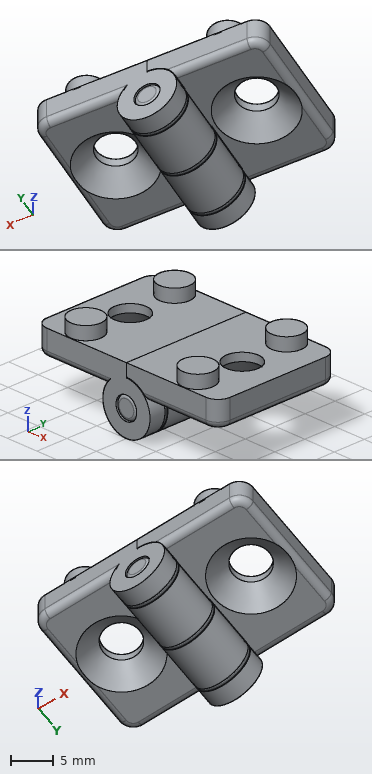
import cadquery as cq

hinge_length = 31.0
hinge_width = 20.0
leaf_thickness = 4.0
corner_radius = 2.0
bottom_fillet = 1.0
leaf_length = hinge_length / 2

stud_diameter = 5.0
stud_height = leaf_thickness / 2
stud_x = 9.5
stud_y = 7.4
hole_diameter = 5.3
hole_straight_depth = 1.25
countersink_depth = leaf_thickness - hole_straight_depth
countersink_diameter = hole_diameter + 2 * countersink_depth

barrel_diameter = 8.0
barrel_clearance = 0.1
barrel_top_depth = leaf_thickness / 2
axis_z = leaf_thickness - barrel_top_depth - barrel_diameter / 2
washer_thickness = 0.5
washer_fillet = 0.2
washer_pitch = 7.25
pin_diameter = 3.5
pin_fillet = 0.5

washer_spans = [
    (y - washer_thickness / 2, y + washer_thickness / 2)
    for y in (-washer_pitch, 0, washer_pitch)
]
knuckle_starts = [-hinge_width / 2] + [end for start, end in washer_spans]
knuckle_ends = [start for start, end in washer_spans] + [hinge_width / 2]
knuckle_spans = list(zip(knuckle_starts, knuckle_ends))


def barrel_cylinder(span, diameter):
    """Cylinder on the hinge axis that fills a range of Y."""
    start, end = span
    return (
        cq.Workplane("XZ", origin=(0, start, axis_z))
        .circle(diameter / 2)
        .extrude(start - end)
    )


def make_plate(side):
    """Half of a rounded plate, cut at X = 0 so that its inner edges stay sharp."""
    full_plate = (
        cq.Workplane("XY")
        .rect(hinge_length, hinge_width)
        .extrude(leaf_thickness)
        .edges("|Z")
        .fillet(corner_radius)
        .faces("<Z")
        .edges()
        .fillet(bottom_fillet)
    )
    half_space = (
        cq.Workplane("XY")
        .center(side * leaf_length / 2, 0)
        .rect(leaf_length, hinge_width)
        .extrude(leaf_thickness)
    )
    return full_plate.intersect(half_space)


def make_screw_hole(side):
    """Cutting shape: straight hole at the top, countersink opening at the underside."""
    bore = cq.Workplane("XY").center(side * stud_x, 0).circle(hole_diameter / 2).extrude(leaf_thickness)
    countersink = cq.Solid.makeCone(
        countersink_diameter / 2,
        hole_diameter / 2,
        countersink_depth,
        pnt=cq.Vector(side * stud_x, 0, 0),
    )
    return bore.union(cq.Workplane(countersink))


def make_studs(side):
    return (
        cq.Workplane("XY", origin=(0, 0, leaf_thickness))
        .pushPoints([(side * stud_x, -stud_y), (side * stud_x, stud_y)])
        .circle(stud_diameter / 2)
        .extrude(stud_height)
    )


def make_leaf(side, own_knuckles, other_knuckles):
    """Leaf with its studs and knuckles, cut clear of the washers and the other leaf's knuckles."""
    leaf = make_plate(side).union(make_studs(side))
    for span in other_knuckles + washer_spans:
        leaf = leaf.cut(barrel_cylinder(span, barrel_diameter + 2 * barrel_clearance))
    for span in own_knuckles:
        leaf = leaf.union(barrel_cylinder(span, barrel_diameter))
    leaf = leaf.cut(make_screw_hole(side))
    return leaf.cut(barrel_cylinder((-hinge_width / 2, hinge_width / 2), pin_diameter))


def make_washer(span):
    """Ring between two knuckles, with a rounded rim."""
    disc = barrel_cylinder(span, barrel_diameter).edges().fillet(washer_fillet)
    return disc.cut(barrel_cylinder(span, pin_diameter))


def make_pin():
    """Full-length pin with rounded ends."""
    pin = barrel_cylinder((-hinge_width / 2, hinge_width / 2), pin_diameter)
    return pin.faces("<Y or >Y").edges().fillet(pin_fillet)


left_knuckles = knuckle_spans[0::2]
right_knuckles = knuckle_spans[1::2]
left_leaf = make_leaf(-1, left_knuckles, right_knuckles)
right_leaf = make_leaf(1, right_knuckles, left_knuckles)
washers = [make_washer(span) for span in washer_spans]
pin = make_pin()

result = cq.Compound.makeCompound(
    [left_leaf.val(), right_leaf.val(), pin.val()] + [washer.val() for washer in washers]
)